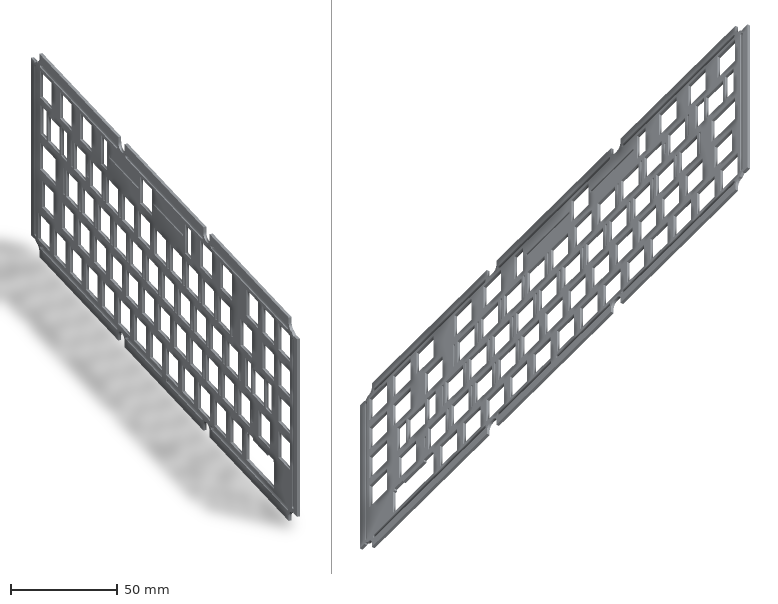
import cadquery as cq
import math


plate_length = 315.8
plate_height = 107.7
thickness = 1.5

pitch_count = 15
key_center_span = 285.8
pitch = key_center_span / pitch_count
key_gap = 5.0
switch_size = pitch - key_gap

number_row = [column - 7.5 for column in range(13)]
tab_row = [-7.25] + [column - 6 for column in range(12)] + [6.25, 7.5]
home_row = [column - 5.75 for column in range(11)] + [5.875, 7.5]
shift_row = [-6.875] + [column - 5.25 for column in range(10)] + [5.125, 6.5, 7.5]
space_row = [-7.375, -6.125, -4.875, -1.125, 2.625, 3.875, 5.5, 6.5, 7.5]
switch_rows = {-2: number_row, -1: tab_row, 0: home_row, 1: shift_row, 2: space_row}

wide_switches = [(-7.375, -7.125, 0), (5.5, 6.5, -2)]

stabilizer_width = 7.0
stabilizer_height = 15.0
short_key_reach = 12.0
space_bar_reach = 50.0
stabilizer_shift = (stabilizer_height - switch_size) / 2
short_stabilized_keys = [(-6.875, 1), (5.875, 0), (6.0, -2)]
space_bar = (-1.125, 2)

slot_width = 1.2
flex_slots = {
    -1: [1.5, 2.5, 3.5, 4.5],
    0: [column - 6.25 for column in range(12)],
    1: [-5.75, -3.75, -2.75, 0.25, 1.25, 2.25, 3.25, 4.25],
}
short_slot_length = 7.0
short_slots = [(5.5, -1), (-4.75, 1)]

space_slot_length = 35.0
space_slot_lift = 0.3
space_slot_offset = 26.2

plate_edge_z = 48.0
notch_floor_z = plate_edge_z
notch_half_width = 3.8
notch_radius = 3.0
chamfer_start_x = 151.5
notch_offset = 50.5
long_tab_end = 148.0
side_tab_end = 47.0
corner_x = 153.5
corner_z = 46.5
side_neck_width = 0.5
side_slot_x = 152.8
tab_slot_width = 2.0
side_slot_length = 90.3
outer_slot_length = 92.0
outer_slot_center = 101.5
middle_slot_length = 92.0
middle_bridge = 4.5


def block(center_x, center_z, length, height):
    """Box through the plate thickness, centred on the given point."""
    return cq.Workplane("XY").box(length, thickness, height).translate((center_x, 0, center_z))


def rounded_slot(center_x, center_z, length, height):
    """Slot through the plate thickness with fully rounded ends."""
    angle = 90 if height > length else 0
    return (
        cq.Workplane("XZ")
        .center(center_x, center_z)
        .slot2D(max(length, height), min(length, height), angle)
        .extrude(thickness / 2, both=True)
    )


def key_block(column, row, length, height, shift_x=0.0, shift_z=0.0):
    """Box placed on the key grid, with an optional shift from the key centre."""
    return block(column * pitch + shift_x, row * pitch + shift_z, length, height)


def switch_cutouts():
    cutouts = [
        key_block(column, row, switch_size, switch_size)
        for row, row_columns in switch_rows.items()
        for column in row_columns
    ]
    for first, last, row in wide_switches:
        length = switch_size + (last - first) * pitch
        cutouts.append(key_block((first + last) / 2, row, length, switch_size))
    return cutouts


def stabilizer_pair(key, reach, shift_z):
    column, row = key
    return [
        key_block(column, row, stabilizer_width, stabilizer_height, side * reach, shift_z)
        for side in (-1, 1)
    ]


def stabilizer_cutouts():
    cutouts = stabilizer_pair(space_bar, space_bar_reach, -stabilizer_shift)
    for key in short_stabilized_keys:
        cutouts += stabilizer_pair(key, short_key_reach, stabilizer_shift)
    return cutouts


def flex_slot_cutouts():
    cutouts = [
        key_block(column, row, slot_width, switch_size)
        for row, row_columns in flex_slots.items()
        for column in row_columns
    ]
    cutouts += [key_block(column, row, slot_width, short_slot_length) for column, row in short_slots]
    column, row = space_bar
    cutouts += [
        key_block(column, row, space_slot_length, slot_width, side * space_slot_offset, space_slot_lift)
        for side in (-1, 1)
    ]
    return cutouts


def tab_slot_cutouts():
    cutouts = []
    for side in (-1, 1):
        edge_z = side * plate_edge_z
        cutouts.append(rounded_slot(side * side_slot_x, 0, tab_slot_width, side_slot_length))
        cutouts.append(rounded_slot(0, edge_z, middle_slot_length, tab_slot_width))
        for end in (-1, 1):
            cutouts.append(rounded_slot(end * outer_slot_center, edge_z, outer_slot_length, tab_slot_width))
    return cutouts


def edge_notch():
    """Round-bottomed notch between two tabs of the top edge."""
    return (
        cq.Workplane("XZ")
        .moveTo(-notch_half_width, plate_height / 2)
        .lineTo(-notch_half_width, notch_floor_z)
        .lineTo(notch_half_width, notch_floor_z)
        .lineTo(notch_half_width, plate_height / 2)
        .close()
        .extrude(thickness / 2, both=True)
        .edges("|Y and <Z")
        .fillet(notch_radius)
    )


def corner_notch():
    """Notch between the top edge tab and the right side tab."""
    arc_x = long_tab_end + notch_radius
    arc_z = notch_floor_z + notch_radius
    arc_reach = notch_radius * math.sqrt(0.5)
    return (
        cq.Workplane("XZ")
        .moveTo(long_tab_end, plate_height / 2)
        .lineTo(long_tab_end, arc_z)
        .threePointArc((arc_x - arc_reach, arc_z - arc_reach), (arc_x, notch_floor_z))
        .lineTo(chamfer_start_x, notch_floor_z)
        .lineTo(corner_x, corner_z)
        .lineTo(corner_x + side_neck_width, side_tab_end)
        .lineTo(plate_length / 2, side_tab_end)
        .lineTo(plate_length / 2, plate_height / 2)
        .close()
        .extrude(thickness / 2, both=True)
    )


def notch_cutouts():
    """All tab notches: the top right ones, mirrored to every edge and corner."""
    right = [corner_notch(), edge_notch().translate((notch_offset, 0, 0))]
    top = right + [notch.mirror("YZ") for notch in right]
    return top + [notch.mirror("XY") for notch in top]


cutouts = switch_cutouts() + stabilizer_cutouts() + flex_slot_cutouts()
cutouts += tab_slot_cutouts() + notch_cutouts()
blank = block(0, 0, plate_length, plate_height).val()
plate = cq.Workplane(blank.cut(*[cutout.val() for cutout in cutouts]))

bridge = block(0, -plate_edge_z, middle_bridge, tab_slot_width)
result = plate.union(bridge)